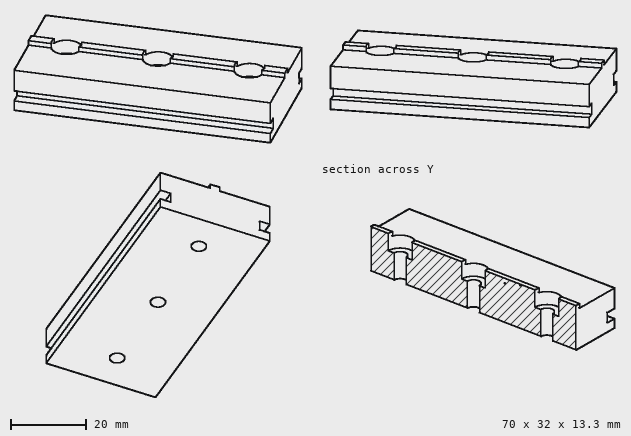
import cadquery as cq

length = 70.0
width = 32.0
total_height = 13.3
rib_height = 1.3
body_height = total_height - rib_height

rib_width = 2.8

groove_depth = 3.0
groove_height = 3.0
lip_height = 2.8

hole_count = 3
hole_spacing = 25.0
hole_diameter = 4.0
counterbore_diameter = 8.0
counterbore_depth = 3.85


def bar(bar_width, height, bottom):
    """Full-length bar centred on the X axis, standing on the given level."""
    return cq.Workplane("XY", origin=(0, 0, bottom)).box(
        length, bar_width, height, centered=(True, True, False)
    )


def screw_cutters(diameter, bottom):
    """Row of cylinders along X, from the given level up through the rib."""
    return (
        cq.Workplane("XY", origin=(0, 0, bottom))
        .rarray(hole_spacing, 0.7, hole_count, 1)
        .circle(diameter / 2)
        .extrude(total_height - bottom)
    )


groove_top = lip_height + groove_height
web_width = width - 2 * groove_depth
block = (
    bar(width, lip_height, 0)
    .union(bar(web_width, groove_height, lip_height))
    .union(bar(width, body_height - groove_top, groove_top))
    .union(bar(rib_width, rib_height, body_height))
)

result = (
    block
    .cut(screw_cutters(hole_diameter, 0))
    .cut(screw_cutters(counterbore_diameter, body_height - counterbore_depth))
)